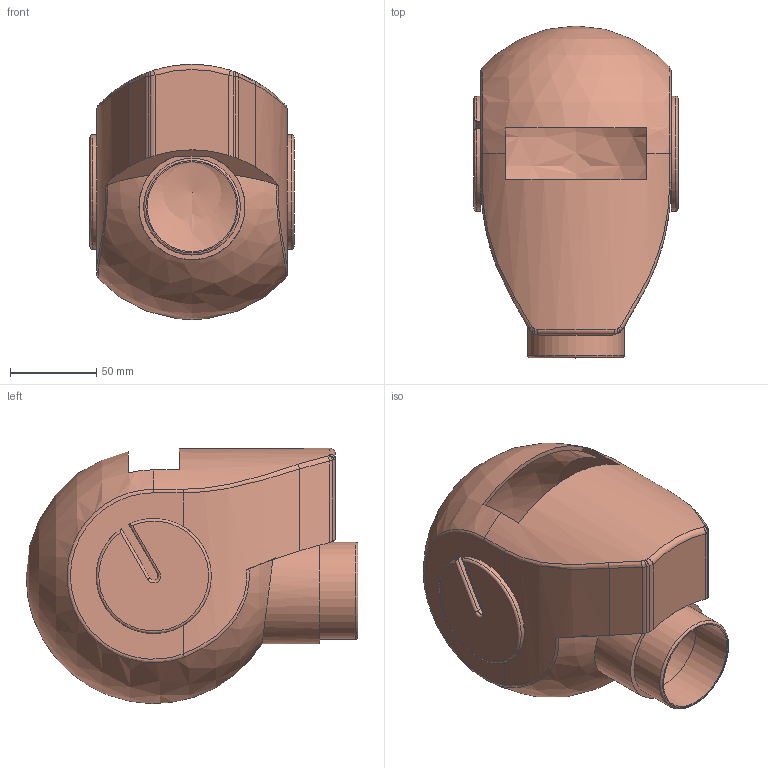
import cadquery as cq
import math

SPHERE_RADIUS = 73.87
WALL = 2.7
CHEEK_X = 55.0
CHEEK_BLEND = 3.0

VISOR_FRONT_Y = -105.0
TAPER_START_Y = -17.0
TAPER_RADIUS = 135.0
TAPER_ANGLE = 30.0
VISOR_CORNER_CHAMFER = 2.4
VISOR_CORNER_RADIUS = 5.0

VISOR_DEPTH = 49.5
UNDERSIDE_SLOPE = 22.0

WINDOW_X = 82.0
WINDOW_Y = 29.6

BOSS_RADIUS = 33.3
BOSS_HEIGHT = 4.03
BOSS_BLEND = 1.5
SLOT_WIDTH = 5.0
SLOT_ANGLE = 30.0

PIPE_Z = -8.5
NOZZLE_RADIUS = 28.0
NOZZLE_BORE_RADIUS = 26.0
NOZZLE_TIP_Y = -118.19
NOZZLE_TIP_BLEND = 1.3
SOCKET_RADIUS = NOZZLE_RADIUS + WALL
SOCKET_END_Y = -96.0
NOZZLE_INSERTION = 3.0

TOLERANCE = 0.01


def y_cylinder(radius, start_y, end_y, z=0.0):
    """Cylinder along -Y from start_y to end_y, centred at height z."""
    plane = cq.Workplane("XZ", origin=(0, start_y, z))
    return plane.circle(radius).extrude(start_y - end_y)


def plan_prism(inset):
    """Tall prism of the plan outline, moved inward by inset."""
    angle = math.radians(TAPER_ANGLE)
    half_width = CHEEK_X - inset
    radius = TAPER_RADIUS - inset
    centre_x = half_width - radius
    back_y = SPHERE_RADIUS
    front_y = VISOR_FRONT_Y + inset

    def on_taper(turn):
        return centre_x + radius * math.cos(turn), TAPER_START_Y - radius * math.sin(turn)

    mid_x, mid_y = on_taper(angle / 2)
    end_x, end_y = on_taper(angle)
    front_x = end_x - (end_y - front_y) * math.tan(angle)
    outline = (
        cq.Workplane("XY", origin=(0, 0, -SPHERE_RADIUS))
        .moveTo(-half_width, back_y)
        .lineTo(half_width, back_y)
        .lineTo(half_width, TAPER_START_Y)
        .threePointArc((mid_x, mid_y), (end_x, end_y))
        .lineTo(front_x, front_y)
        .lineTo(-front_x, front_y)
        .lineTo(-end_x, end_y)
        .threePointArc((-mid_x, mid_y), (-half_width, TAPER_START_Y))
        .close()
    )
    return outline.extrude(2 * SPHERE_RADIUS)


def y_ball(radius):
    """Ball about the origin, revolved about the Y axis."""
    profile = cq.Workplane("YZ").moveTo(-radius, 0).threePointArc((0, -radius), (radius, 0)).close()
    return profile.revolve(360, (0, 0, 0), (1, 0, 0))


def make_visor():
    """Visor block reaching back to the middle of the sphere, before trimming to the plan."""
    block = y_cylinder(SPHERE_RADIUS, 0, VISOR_FRONT_Y)
    hollow = y_cylinder(SPHERE_RADIUS, 0, VISOR_FRONT_Y, -VISOR_DEPTH)
    crest_z = SPHERE_RADIUS - VISOR_DEPTH
    rear_z = crest_z + VISOR_FRONT_Y * math.tan(math.radians(UNDERSIDE_SLOPE))
    wedge = (
        cq.Workplane("YZ")
        .polyline([(VISOR_FRONT_Y, crest_z), (0, crest_z), (0, rear_z)])
        .close()
        .extrude(SPHERE_RADIUS, both=True)
    )
    return block.cut(hollow.cut(wedge))


def is_shell_rim(edge):
    """True for the edges where the rounded skin meets the cheeks, sides or visor front."""
    point = edge.positionAt(0.5)
    on_ball = abs(point.Length - SPHERE_RADIUS) < TOLERANCE
    on_visor = abs(math.hypot(point.x, point.z) - SPHERE_RADIUS) < TOLERANCE
    at_middle = abs(point.x) < TOLERANCE
    at_visor_front = abs(point.y - VISOR_FRONT_Y) < TOLERANCE
    return (on_ball or on_visor) and (at_visor_front or not at_middle)


def make_outer_form():
    """Solid sphere and visor, trimmed to the plan outline and rounded."""
    plan = plan_prism(0).edges("|Z and <Y").chamfer(VISOR_CORNER_CHAMFER)
    plan = plan.edges("|Z").edges(">>Y[0] or >>Y[1]").fillet(VISOR_CORNER_RADIUS)
    ball = y_ball(SPHERE_RADIUS).intersect(plan)
    visor = make_visor().intersect(plan)
    form = ball.union(visor)
    rim = [edge for edge in form.edges().vals() if is_shell_rim(edge)]
    return form.newObject(rim).fillet(CHEEK_BLEND)


def make_boss(side, slotted):
    """Disc standing on one cheek; side is -1 or +1 for the X direction it faces."""
    boss = cq.Workplane("YZ").circle(BOSS_RADIUS).extrude(BOSS_HEIGHT)
    if slotted:
        slot = (
            cq.Workplane("YZ")
            .rect(SLOT_WIDTH, 2 * BOSS_RADIUS)
            .extrude(BOSS_HEIGHT)
            .translate((0, 0, BOSS_RADIUS))
            .union(cq.Workplane("YZ").circle(SLOT_WIDTH / 2).extrude(BOSS_HEIGHT))
            .rotate((0, 0, 0), (1, 0, 0), -SLOT_ANGLE)
        )
        boss = boss.cut(slot)
    boss = boss.faces(">X").edges().fillet(BOSS_BLEND)
    if side < 0:
        boss = boss.mirror("YZ")
    return boss.translate((side * CHEEK_X, 0, 0))


def make_housing():
    """Hollow shell with visor, cheek bosses, window and hose socket."""
    socket = y_cylinder(SOCKET_RADIUS, 0, SOCKET_END_Y, PIPE_Z)
    cavity = y_ball(SPHERE_RADIUS - WALL).intersect(plan_prism(WALL))
    socket_bore = y_cylinder(NOZZLE_RADIUS, 0, SOCKET_END_Y, PIPE_Z)
    window = cq.Workplane("XY").rect(WINDOW_X, WINDOW_Y).extrude(SPHERE_RADIUS)
    housing = make_outer_form().union(socket)
    for side, slotted in ((-1, True), (1, False)):
        housing = housing.union(make_boss(side, slotted))
    return housing.cut(cavity).cut(socket_bore).cut(window)


def make_nozzle():
    """Hose tube seated in the end of the socket, with a rounded tip."""
    inner_end_y = SOCKET_END_Y + NOZZLE_INSERTION
    tube = y_cylinder(NOZZLE_RADIUS, inner_end_y, NOZZLE_TIP_Y, PIPE_Z)
    tube = tube.faces("<Y").edges().fillet(NOZZLE_TIP_BLEND)
    return tube.cut(y_cylinder(NOZZLE_BORE_RADIUS, inner_end_y, NOZZLE_TIP_Y, PIPE_Z))


housing = make_housing()
nozzle = make_nozzle()
result = cq.Compound.makeCompound([*housing.solids().vals(), nozzle.val()])